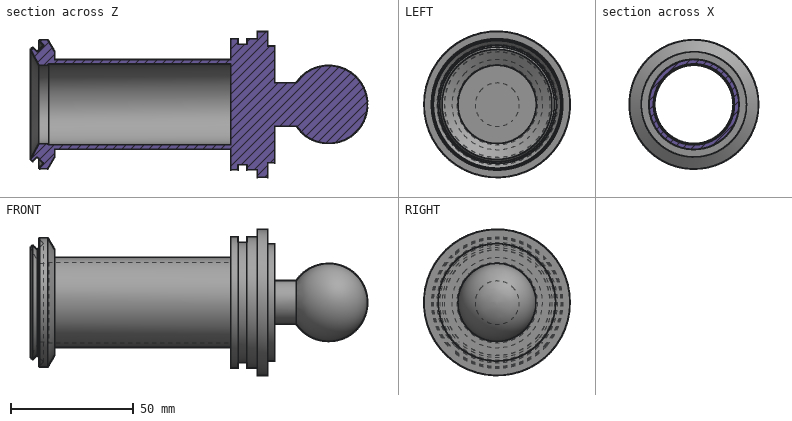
import cadquery as cq


mouth_radius = 22.5
lip_crest_x = 1.0
lip_crest_radius = 23.5
lip_valley_x = 2.8
lip_valley_radius = lip_crest_radius - (lip_valley_x - lip_crest_x)
rim_front_x = 3.5
rim_radius = 53.0 / 2
rim_chamfer = 0.4
rim_edge_radius = rim_radius - rim_chamfer
undercut_x = (rim_edge_radius - lip_valley_radius + rim_front_x + lip_valley_x) / 2
undercut_radius = lip_valley_radius + (undercut_x - lip_valley_x)
rim_flat_end_x = 7.2
rim_back_x = 10.1
rim_back_radius = 21.5

tube_radius = 37.0 / 2
throat_radius = 32.0 / 2
bore_radius = 33.0 / 2
funnel_depth = 3.5
throat_length = 4.0

collar_front_x = 82.0
groove_front_x = 85.0
groove_back_x = 88.7
flange_front_x = 92.8
flange_back_x = 97.2
disc_back_x = 100.1
collar_radius = 53.9 / 2
groove_radius = 49.5 / 2
flange_radius = 60.0 / 2
disc_radius = 48.0 / 2

overall_length = 138.1
neck_radius = 18.0 / 2
ball_radius = 32.0 / 2
ball_center_x = overall_length - ball_radius


def cylinder(start_x, end_x, radius):
    """Solid cylinder along X between two stations."""
    return cq.Workplane("YZ", origin=(start_x, 0, 0)).circle(radius).extrude(end_x - start_x)


def revolve_profile(points):
    """Revolve a closed outline of (station, radius) points about X."""
    return cq.Workplane("XY").polyline(points).close().revolve(360, (0, 0, 0), (1, 0, 0))


def make_coupling_end():
    """Sealing lip, undercut by the chamfered rim with a conical back."""
    return revolve_profile([
        (0, 0),
        (0, mouth_radius),
        (lip_crest_x, lip_crest_radius),
        (lip_valley_x, lip_valley_radius),
        (undercut_x, undercut_radius),
        (rim_front_x, rim_edge_radius),
        (rim_front_x + rim_chamfer, rim_radius),
        (rim_flat_end_x, rim_radius),
        (rim_back_x, rim_back_radius),
        (rim_back_x, 0),
    ])


def make_bore():
    """Conical mouth, short throat and wider blind bore ending at the collar."""
    throat_end_x = funnel_depth + throat_length
    return revolve_profile([
        (0, 0),
        (0, mouth_radius),
        (funnel_depth, throat_radius),
        (throat_end_x, throat_radius),
        (throat_end_x, bore_radius),
        (collar_front_x, bore_radius),
        (collar_front_x, 0),
    ])


def make_collar():
    """Stack of coaxial discs forming the seal groove, flange and end disc."""
    steps = [
        (collar_front_x, groove_front_x, collar_radius),
        (groove_front_x, groove_back_x, groove_radius),
        (groove_back_x, flange_front_x, collar_radius),
        (flange_front_x, flange_back_x, flange_radius),
        (flange_back_x, disc_back_x, disc_radius),
    ]
    collar = cq.Workplane("YZ")
    for start_x, end_x, radius in steps:
        collar = collar.union(cylinder(start_x, end_x, radius))
    return collar


def make_knob():
    """Ball joined to the end disc by a plain neck."""
    ball = cq.Workplane("XY").sphere(ball_radius).translate((ball_center_x, 0, 0))
    return cylinder(disc_back_x, ball_center_x, neck_radius).union(ball)


tube = cylinder(rim_back_x, collar_front_x, tube_radius)
body = make_coupling_end().union(tube).union(make_collar()).union(make_knob())
result = body.cut(make_bore())